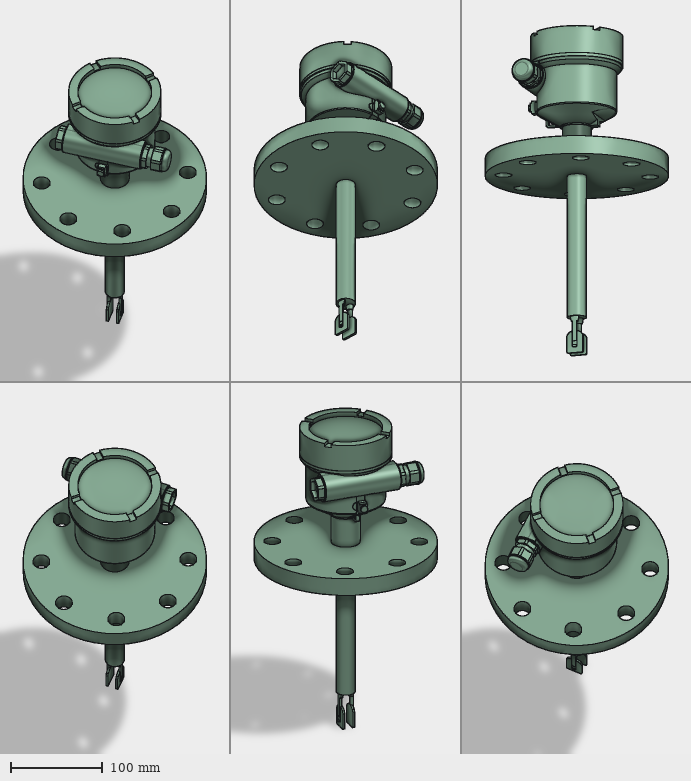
import cadquery as cq
import math


total_height = 356.3
stem_bottom = 41.0
flange_bottom = 200.0
flange_thickness = 20.0
flange_top = flange_bottom + flange_thickness
collar_bottom = 254.0
collar_top = 255.5
cone_top = 270.8
body_edge = 272.2
body_top = 315.0
lid_skirt = 319.2
lid_ring_bottom = 322.5
lid_ring_top = 326.0

stem_diameter = 21.0
stem_radius = stem_diameter / 2
neck_diameter = 31.7
neck_radius = neck_diameter / 2
collar_radius = 17.8
cone_radius = 43.0
body_diameter = 87.3
body_radius = body_diameter / 2
lid_skirt_radius = 48.5
lid_neck_radius = 49.0
lid_radius = 50.2
lid_ring_radius = 50.5

flange_diameter = 200.0
flange_radius = flange_diameter / 2
bolt_circle_diameter = 160.0
bolt_count = 8
bolt_hole_diameter = 18.0

recess_radius = 40.3
recess_depth = 5.5
key_slot_width = 8.0
key_slot_depth = 3.5
key_slot_count = 4

conduit_y = -38.0
conduit_z = 306.0
conduit_radius = 15.0
conduit_half_length = 44.0
saddle_depth = 8.5
hex_across_flats = 24.2
hex_corner_radius = 13.2
washer_radius = 14.0
washer_thickness = 1.0
plug_length = 7.5
socket_across_flats = 17.8
socket_depth = 5.7
gland_collar_length = 5.5
gland_neck_radius = 10.7
gland_neck_length = 5.5
gland_nut_length = 10.7
gland_rim_radius = 13.0
gland_rim_length = 1.5
gland_dome_radius = 12.0
gland_dome_length = 5.7
gland_dome_rounding = 4.5

terminal_z = 280.5
terminal_width = 9.5
terminal_half_width = terminal_width / 2
pad_face_y = -44.0
pad_top = conduit_z - conduit_radius / 2
cone_pad_drop = 0.55
pad_end_x = -4.3
base_face_y = -46.3
base_right_x = 5.7
clamp_face_y = -51.0
clamp_full_height = 14.0
clamp_half_length = 4.3
screw_square_face_y = -52.5
screw_head_face_y = -54.5
screw_head_radius = 4.0

eyelet_front_y = -35.0
eyelet_bottom = 257.0
eyelet_top = 267.2
eyelet_thickness = 4.0
eyelet_rounding = 2.5
eyelet_wall = 2.5
back_rib_y = 25.3
back_rib_width = 9.5
back_relief_top = 264.7

fork_envelope_radius = 8.5
prong_x = 7.5
prong_radius = 2.67
prong_bottom = 6.0
prong_tip_rounding = 1.8
prong_root_bottom = 35.3
prong_root_radius = 4.0
prong_root_top_radius = 5.0
prong_groove_bottom = 8.5
prong_groove_height = 4.3
prong_groove_depth = 0.5
paddle_inner_x = 4.5
paddle_thickness = 2.3
paddle_half_width = 9.3
paddle_side_top = 19.0
paddle_shoulder_y = 8.0
paddle_shoulder_z = 21.7
paddle_top = 25.0
paddle_corner_radius = 1.5

overlap = 1.8


def box(x_range, y_range, z_range):
    """Box between two limits on each axis."""
    (x0, x1), (y0, y1), (z0, z1) = x_range, y_range, z_range
    return cq.Workplane("XY").box(x1 - x0, y1 - y0, z1 - z0, centered=False).translate((x0, y0, z0))


def conduit_plane(x):
    """Plane across the conduit axis at x, facing +X."""
    return cq.Workplane("YZ", origin=(x, conduit_y, conduit_z))


def conduit_disc(x, radius, length):
    return conduit_plane(x).circle(radius).extrude(length)


def hexagon(x, across_flats, length):
    """Hexagonal bar along the conduit with its corners up and down."""
    corner_diameter = across_flats / math.cos(math.pi / 6)
    bar = cq.Workplane("XY").polygon(6, corner_diameter).extrude(length)
    bar = bar.rotate((0, 0, 0), (0, 1, 0), 90)
    return bar.translate((x, conduit_y, conduit_z))


def hex_nut(x, length):
    """Hexagon with its sharp corners turned off."""
    return hexagon(x, hex_across_flats, length).intersect(conduit_disc(x, hex_corner_radius, length))


def make_turned_body():
    """Stem, flange, neck, housing and lid as one revolved outline."""
    outline = [
        (0, stem_bottom),
        (stem_radius, stem_bottom),
        (stem_radius, flange_bottom),
        (flange_radius, flange_bottom),
        (flange_radius, flange_top),
        (neck_radius, flange_top),
        (neck_radius, collar_bottom),
        (collar_radius, collar_bottom),
        (collar_radius, collar_top),
        (cone_radius, cone_top),
        (body_radius, body_edge),
        (body_radius, body_top),
        (lid_skirt_radius, lid_skirt),
        (lid_neck_radius, lid_ring_bottom),
        (lid_ring_radius, lid_ring_bottom),
        (lid_ring_radius, lid_ring_top),
        (lid_radius, lid_ring_top),
        (lid_radius, total_height),
        (0, total_height),
    ]
    return cq.Workplane("XZ").polyline(outline).close().revolve(360, (0, 0, 0), (0, 1, 0))


def make_bolt_holes():
    return (
        cq.Workplane("XY", origin=(0, 0, flange_bottom))
        .polarArray(bolt_circle_diameter / 2, 180 / bolt_count, 360, bolt_count)
        .circle(bolt_hole_diameter / 2)
        .extrude(flange_thickness)
    )


def make_lid_cuts():
    """Round recess in the lid with key slots through its rim."""
    cuts = cq.Workplane("XY", origin=(0, 0, total_height)).circle(recess_radius).extrude(-recess_depth)
    slot_pair = box(
        (-lid_ring_radius, lid_ring_radius),
        (-key_slot_width / 2, key_slot_width / 2),
        (total_height - key_slot_depth, total_height),
    )
    step = 360 / key_slot_count
    for index in range(key_slot_count // 2):
        cuts = cuts.union(slot_pair.rotate((0, 0, 0), (0, 0, 1), step / 2 + index * step))
    return cuts


def make_back_relief():
    """Wedge taken off the back of the cone, behind the back rib."""
    wedge = [
        (back_rib_y, collar_bottom),
        (back_rib_y, back_relief_top),
        (cone_radius, cone_top),
        (cone_radius, collar_bottom),
    ]
    return cq.Workplane("YZ").polyline(wedge).close().extrude(body_radius, both=True)


def make_back_rib():
    half_width = back_rib_width / 2
    return box((-half_width, half_width), (0, back_rib_y), (collar_bottom, back_relief_top))


def make_conduit():
    """Conduit tube with a flat-topped saddle joining it to the body."""
    tube = conduit_disc(-conduit_half_length, conduit_radius, 2 * conduit_half_length)
    saddle = box(
        (-conduit_half_length, conduit_half_length),
        (conduit_y, conduit_y + saddle_depth),
        (conduit_z, conduit_z + conduit_radius),
    )
    return tube.union(saddle)


def make_plug():
    """Blanking plug with a hexagon socket on the -X end."""
    washer_x = -conduit_half_length - washer_thickness
    head_x = washer_x - plug_length
    washer = conduit_disc(washer_x, washer_radius, washer_thickness + overlap)
    head = hex_nut(head_x, plug_length)
    socket = hexagon(head_x, socket_across_flats, socket_depth)
    return washer.union(head).cut(socket)


def make_gland():
    """Cable gland on the +X end."""
    collar_x = conduit_half_length + washer_thickness
    neck_x = collar_x + gland_collar_length
    nut_x = neck_x + gland_neck_length
    rim_x = nut_x + gland_nut_length
    dome_x = rim_x + gland_rim_length
    dome = conduit_disc(dome_x, gland_dome_radius, gland_dome_length)
    dome = dome.faces(">X").edges().fillet(gland_dome_rounding)
    gland = conduit_disc(conduit_half_length - overlap, washer_radius, washer_thickness + overlap)
    gland = gland.union(hex_nut(collar_x, gland_collar_length))
    gland = gland.union(conduit_disc(neck_x, gland_neck_radius, gland_neck_length))
    gland = gland.union(hex_nut(nut_x, gland_nut_length))
    gland = gland.union(conduit_disc(rim_x, gland_rim_radius, gland_rim_length))
    return gland.union(dome)


def make_terminal_pad():
    """Flat strip on the body that carries on down the cone, with a round end beside the terminal."""
    slope = (cone_top - collar_top) / (cone_radius - collar_radius)
    foot_z = collar_top - cone_pad_drop
    outline = [
        (0, pad_top),
        (pad_face_y, pad_top),
        (pad_face_y, foot_z + slope * (-pad_face_y - collar_radius)),
        (-collar_radius, foot_z),
        (0, foot_z),
    ]
    strip = cq.Workplane("YZ").polyline(outline).close().extrude(terminal_half_width, both=True)
    round_end = (
        cq.Workplane("XZ", origin=(pad_end_x, 0, terminal_z))
        .circle(terminal_half_width)
        .extrude(-pad_face_y)
    )
    return strip.union(round_end)


def make_terminal():
    """Earth terminal: base block, clamp plate and screw."""
    clamp_length = (-clamp_half_length, clamp_half_length)
    base_height = (terminal_z - terminal_half_width, terminal_z + terminal_half_width)
    base = box((-terminal_half_width, base_right_x), (base_face_y, 0), base_height)
    clamp_half_height = clamp_full_height / 2
    clamp_height = (terminal_z - clamp_half_height, terminal_z + clamp_half_height)
    clamp = box(clamp_length, (clamp_face_y, base_face_y), clamp_height)
    square = box(clamp_length, (screw_square_face_y, clamp_face_y), base_height)
    head = (
        cq.Workplane("XZ", origin=(0, clamp_face_y, terminal_z))
        .circle(screw_head_radius)
        .extrude(clamp_face_y - screw_head_face_y)
    )
    return base.union(clamp).union(square).union(head)


def make_eyelet():
    """Thin sealing eyelet under the front of the cone, open between its wall and the cone."""
    half = eyelet_thickness / 2
    plate = box((-half, half), (eyelet_front_y, -neck_radius), (eyelet_bottom, eyelet_top))
    plate = plate.edges("|X and <Y and <Z").fillet(eyelet_rounding)
    window = box(
        (-half, half),
        (eyelet_front_y + eyelet_wall, -neck_radius),
        (eyelet_bottom + eyelet_wall, eyelet_top),
    )
    return plate.cut(window)


def make_prong():
    """One fork prong on the +X side with its root cone and paddle."""
    root_outline = [
        (0, stem_bottom + overlap),
        (prong_root_top_radius, stem_bottom + overlap),
        (prong_root_top_radius, stem_bottom),
        (prong_root_radius, prong_root_bottom),
        (0, prong_root_bottom),
    ]
    root = cq.Workplane("XZ").polyline(root_outline).close().revolve(360, (0, 0, 0), (0, 1, 0))
    rod = cq.Workplane("XY", origin=(0, 0, prong_bottom)).circle(prong_radius)
    rod = rod.extrude(stem_bottom - prong_bottom).faces("<Z").edges().fillet(prong_tip_rounding)
    envelope = cq.Workplane("XY").circle(fork_envelope_radius).extrude(stem_bottom + overlap)
    groove = (
        cq.Workplane("XY", origin=(0, 0, prong_groove_bottom))
        .circle(fork_envelope_radius)
        .circle(fork_envelope_radius - prong_groove_depth)
        .extrude(prong_groove_height)
    )
    prong = rod.union(root).translate((prong_x, 0, 0)).intersect(envelope).cut(groove)
    paddle = (
        cq.Workplane("YZ", origin=(paddle_inner_x, 0, 0))
        .moveTo(-paddle_half_width, 0)
        .lineTo(paddle_half_width, 0)
        .lineTo(paddle_half_width, paddle_side_top)
        .lineTo(paddle_shoulder_y, paddle_shoulder_z)
        .threePointArc((0, paddle_top), (-paddle_shoulder_y, paddle_shoulder_z))
        .lineTo(-paddle_half_width, paddle_side_top)
        .close()
        .extrude(paddle_thickness)
        .edges("|X and <Z")
        .fillet(paddle_corner_radius)
    )
    return prong.union(paddle)


prong = make_prong()
result = make_turned_body().cut(make_bolt_holes()).cut(make_lid_cuts()).cut(make_back_relief())
features = [
    make_back_rib(),
    make_conduit(),
    make_plug(),
    make_gland(),
    make_terminal_pad(),
    make_terminal(),
    make_eyelet(),
    prong,
    prong.mirror("YZ"),
]
for feature in features:
    result = result.union(feature)